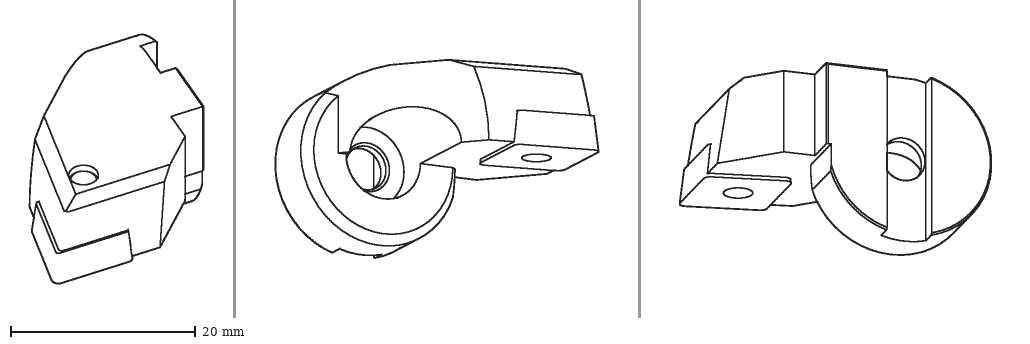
import cadquery as cq
import math


HUB_RADIUS = 9.5
HUB_LENGTH = 7.5
HUB_FRONT_CHAMFER = 1.05
HUB_FLAT_X = 8.98
BACK_CHAMFER = 0.2
SLOT_WIDTH = 5.13
SLOT_DEPTH = 2.0

BORE_RADIUS = 2.45
BORE_CHAMFER = 0.28
COUNTERBORE_RADIUS = 4.5
COUNTERBORE_FLOOR_Y = -3.5

TOP_Z = 9.4
SHOULDER_Y = -4.0
SHOULDER_END_X = 13.05
DIAGONAL_OFFSET = 12.97
CHAMFER_HEIGHT = 1.0
SIDE_X = 18.75
SIDE_LEAN = 1.03
SIDE_BEVEL_WIDTH = 1.25
NOSE_DISTANCE = 18.25
NOSE_LEAN = 1.0
NOSE_BEVEL_WIDTH = 1.65
CORNER_RADIUS = 0.4
APPROACH_ANGLE = 10.0

INSERT_EDGE_X = 19.0
INSERT_TIP_Y = -22.43
INSERT_INSCRIBED_RADIUS = 4.75
INSERT_TIP_RADIUS = 0.8
INSERT_THICKNESS = 4.0
INSERT_BOTTOM_Z = -0.43
INSERT_RELIEF = 7.0

SCREW_X = 14.02
SCREW_Y = -16.65
SCREW_RADIUS = 1.6
SCREW_TOP_Z = 8.72
SCREW_CHAMFER = 0.2

approach = math.radians(APPROACH_ANGLE)
bevel_bottom_z = TOP_Z - CHAMFER_HEIGHT
reach = 3 * HUB_RADIUS

inset = INSERT_INSCRIBED_RADIUS - INSERT_TIP_RADIUS
insert_x = INSERT_EDGE_X - INSERT_INSCRIBED_RADIUS
insert_y = INSERT_TIP_Y + INSERT_TIP_RADIUS + inset * (1 + math.sin(approach)) / math.cos(approach)


def make_round_bar(length):
    """Cylinder about the hub axis with its back edge chamfered."""
    return cq.Workplane("XZ").circle(HUB_RADIUS).extrude(length).faces(">Y").chamfer(BACK_CHAMFER)


def make_hub():
    hub = make_round_bar(HUB_LENGTH).faces("<Y").chamfer(HUB_FRONT_CHAMFER)
    block = cq.Workplane().box(reach, reach, reach, centered=(False, True, False))
    beyond_flat = block.translate((HUB_FLAT_X, 0, -reach))
    above_top = block.translate((-reach / 2, 0, TOP_Z - BACK_CHAMFER))
    return hub.cut(beyond_flat).cut(above_top)


def make_arm_plan():
    """Vertical prism with the straight outer edges of the arm."""
    rear_cut_y = SHOULDER_Y - (reach - SHOULDER_END_X)
    outline = [
        (-DIAGONAL_OFFSET, 0),
        (HUB_RADIUS, 0),
        (HUB_RADIUS, SHOULDER_Y),
        (SHOULDER_END_X, SHOULDER_Y),
        (reach, rear_cut_y),
        (reach, -DIAGONAL_OFFSET - reach),
    ]
    return cq.Workplane("XY").polyline(outline).close().extrude(TOP_Z)


def make_side_profile():
    """Prism along Y with a flat top and, on the right, the bevel and the leaning side face."""
    bevel_x = SIDE_X - SIDE_LEAN
    outline = [
        (-reach, 0),
        (-reach, TOP_Z),
        (bevel_x - SIDE_BEVEL_WIDTH, TOP_Z),
        (bevel_x, bevel_bottom_z),
        (SIDE_X, 0),
    ]
    return cq.Workplane("XZ").polyline(outline).close().extrude(reach)


def make_nose_profile():
    """Prism along the front edge: rounded front face and the bevel above it."""
    bevel_distance = NOSE_DISTANCE - NOSE_LEAN
    nose_radius = (NOSE_LEAN**2 + bevel_bottom_z**2) / (2 * NOSE_LEAN)
    outward = (-math.sin(approach), -math.cos(approach), 0)
    along_edge = (-math.cos(approach), math.sin(approach), 0)
    section = cq.Plane(origin=(0, 0, 0), xDir=outward, normal=along_edge)
    return (
        cq.Workplane(section)
        .moveTo(-reach, 0)
        .lineTo(NOSE_DISTANCE, 0)
        .radiusArc((bevel_distance, bevel_bottom_z), -nose_radius)
        .lineTo(bevel_distance - NOSE_BEVEL_WIDTH, TOP_Z)
        .lineTo(-reach, TOP_Z)
        .close()
        .extrude(reach, both=True)
    )


def make_hub_rounding():
    """Everything right of the hub axis, and on its left only what lies within the hub radius."""
    right_half = cq.Workplane().box(reach, 2 * reach, reach, centered=(False, True, True))
    return make_round_bar(reach).union(right_half)


def make_arm():
    arm = make_arm_plan().intersect(make_side_profile()).intersect(make_nose_profile())
    corner = cq.selectors.NearestToPointSelector((SIDE_X, -reach, bevel_bottom_z / 2))
    arm = arm.edges(corner).fillet(CORNER_RADIUS)
    arm = arm.faces(">Y").edges(">X or >Z").chamfer(BACK_CHAMFER)
    return arm.intersect(make_hub_rounding())


def make_back_slot():
    return cq.Workplane().box(SLOT_WIDTH, 2 * SLOT_DEPTH, reach)


def make_mounting_hole():
    counterbore = (
        cq.Workplane("XZ", origin=(0, COUNTERBORE_FLOOR_Y, 0)).circle(COUNTERBORE_RADIUS).extrude(reach)
    )
    bore = cq.Workplane("XZ").circle(BORE_RADIUS).extrude(reach)
    countersink = cq.Workplane(
        cq.Solid.makeCone(
            BORE_RADIUS + BORE_CHAMFER,
            BORE_RADIUS,
            BORE_CHAMFER,
            pnt=cq.Vector(0, COUNTERBORE_FLOOR_Y, 0),
            dir=cq.Vector(0, 1, 0),
        )
    )
    return counterbore.union(bore).union(countersink)


def make_insert_blank():
    """Rounded rhombus that tapers upwards from its cutting face."""
    half_base = INSERT_INSCRIBED_RADIUS / math.cos(approach)
    slant = INSERT_INSCRIBED_RADIUS * math.tan(approach)
    right, left = INSERT_INSCRIBED_RADIUS, -INSERT_INSCRIBED_RADIUS
    corners = [
        (right, -half_base - slant),
        (right, half_base - slant),
        (left, half_base + slant),
        (left, -half_base + slant),
    ]
    rhombus = cq.Sketch().polygon(corners + corners[:1]).vertices().fillet(INSERT_TIP_RADIUS)
    return (
        cq.Workplane(origin=(insert_x, insert_y, INSERT_BOTTOM_Z))
        .placeSketch(rhombus)
        .extrude(INSERT_THICKNESS, taper=INSERT_RELIEF)
    )


def make_screw_hole():
    return cq.Workplane(origin=(SCREW_X, SCREW_Y, INSERT_BOTTOM_Z)).circle(SCREW_RADIUS).extrude(reach)


def make_holder():
    body = make_hub().union(make_arm())
    body = body.cut(make_back_slot()).cut(make_mounting_hole())
    return body.cut(make_insert_blank()).cut(make_screw_hole())


def make_insert():
    return make_insert_blank().cut(make_screw_hole())


def make_screw():
    """Screw that fills the insert hole and ends below the top of the arm."""
    screw = (
        cq.Workplane(origin=(SCREW_X, SCREW_Y, INSERT_BOTTOM_Z))
        .circle(SCREW_RADIUS)
        .extrude(SCREW_TOP_Z - INSERT_BOTTOM_Z)
    )
    return screw.faces(">Z").chamfer(SCREW_CHAMFER)


holder = make_holder().solids()
insert = make_insert().solids()
screw = make_screw().solids()

result = cq.Compound.makeCompound([holder.val(), insert.val(), screw.val()])